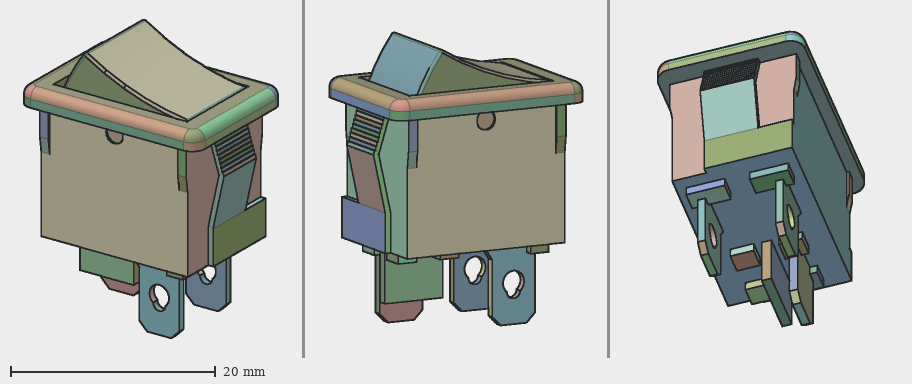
import cadquery as cq


bezel_length = 21.2
bezel_width = 15.1
bezel_height = 1.97
bezel_corner_radius = 1.5
bezel_edge_radius = 1.02

body_length = 17.43
body_width = 12.52
body_height = 14.05
corner_rib_length = 1.02
corner_rib_height = 0.25
corner_rib_straight_end = -3.33
corner_rib_taper_end = -5.02
dimple_diameter = 2.0
dimple_depth = 0.23

opening_length = 15.9
opening_width = 10.5
opening_floor = -0.8
rocker_width = 10.32
rocker_gap = 0.08
rocker_tip_x = -4.31
rocker_tip_z = 6.23
end_face_middle = (-5.8, 4.03)
top_face_middle = (1.52, 3.45)
rocker_edge_radius = 0.28

clip_thickness = 0.6
clip_width = 5.53
clip_apex_x = bezel_length / 2
clip_apex_z = -4.12
clip_top_x = 9.33
clip_foot_top = -9.98
serration_count = 9
serration_pitch = 0.42
serration_start = -0.35

terminal_bottom = -22.05
terminal_width = 4.77
terminal_tip_chamfer = 0.95
end_terminal_x = 4.03
end_terminal_y = 4.0
end_terminal_thickness = 0.8
shoulder_width = 0.87
shoulder_drop = 1.38
hole_z = -17.88
hole_radius = 1.15
hole_lower_z = -18.75
hole_lower_radius = 0.73
left_terminal_x = -4.95
left_terminal_y = 2.5
left_terminal_thickness = 0.87
divider_left = -8.12
divider_right = -1.72
divider_thickness = 1.0
divider_bottom = -19.57
pad_height = 1.0
pad_inner_y = 1.3
left_pad_length = 2.05
left_pad_starts = (-8.38, -3.7)
right_pad_length = 1.95
right_pad_start = 5.5
left_pad_outer_y = 3.7
right_pad_outer_y = 5.25

body_bottom = -body_height
body_end = body_length / 2
body_side = body_width / 2


def block(x_range, y_range, z_range):
    """Box spanning the given (low, high) ranges."""
    size = [high - low for low, high in (x_range, y_range, z_range)]
    corner = (x_range[0], y_range[0], z_range[0])
    return cq.Workplane("XY").box(*size, centered=False).translate(corner)


def plate(profile, y_low, thickness):
    """Extrude a closed XZ profile along +Y from y_low."""
    return profile.extrude(-thickness).translate((0, y_low, 0))


def make_bezel():
    bezel = cq.Workplane("XY").box(bezel_length, bezel_width, bezel_height, centered=(True, True, False))
    bezel = bezel.edges("|Z").fillet(bezel_corner_radius)
    return bezel.faces(">Z").edges().fillet(bezel_edge_radius)


def make_body():
    body = block((-body_end, body_end), (-body_side, body_side), (body_bottom, 0))
    dimple = (
        cq.Workplane("XZ", origin=(0, -body_side, 0))
        .center(0, -dimple_diameter / 2)
        .circle(dimple_diameter / 2)
        .extrude(-dimple_depth)
    )
    return body.cut(dimple)


def make_corner_ribs():
    """Tapered ribs on both sides of the housing, at its four upper corners."""
    outer_y = body_side + corner_rib_height
    outline = [
        (-outer_y, 0),
        (outer_y, 0),
        (outer_y, corner_rib_straight_end),
        (body_side, corner_rib_taper_end),
        (-body_side, corner_rib_taper_end),
        (-outer_y, corner_rib_straight_end),
    ]
    rib = cq.Workplane("YZ").polyline(outline).close().extrude(corner_rib_length)
    left = rib.translate((-body_end, 0, 0))
    right = rib.translate((body_end - corner_rib_length, 0, 0))
    return left.union(right)


def make_opening():
    opening_height = bezel_height - opening_floor
    return (
        cq.Workplane("XY", origin=(0, 0, opening_floor))
        .box(opening_length, opening_width, opening_height, centered=(True, True, False))
    )


def make_rocker():
    """Rocker tilted up on the -X side, with a bulging end face and a hollow top face."""
    rocker_end = opening_length / 2 - rocker_gap
    profile = (
        cq.Workplane("XZ")
        .moveTo(-rocker_end, opening_floor)
        .threePointArc(end_face_middle, (rocker_tip_x, rocker_tip_z))
        .threePointArc(top_face_middle, (rocker_end, bezel_height))
        .lineTo(rocker_end, opening_floor)
        .close()
    )
    rocker = plate(profile, -rocker_width / 2, rocker_width)
    upper_edges = rocker.edges("not(<Z)").edges("not(|Z)")
    return upper_edges.fillet(rocker_edge_radius)


def make_left_clip():
    """Bent spring arm with a stepped grip above its apex and a wide foot below it."""
    foot_x = body_end + clip_thickness
    grip_slope = (clip_apex_x - clip_top_x) / -clip_apex_z
    points = [(-clip_top_x, 0)]
    for step in range(serration_count):
        z = serration_start - step * serration_pitch
        points.append((points[-1][0], z))
        points.append((-clip_top_x + grip_slope * z, z))
    points += [
        (-clip_apex_x, clip_apex_z),
        (-foot_x, clip_foot_top),
        (-foot_x, body_bottom),
        (-body_end, body_bottom),
        (-body_end, clip_foot_top),
        (-clip_apex_x + clip_thickness, clip_apex_z),
        (-body_end, 0),
    ]
    arm = plate(cq.Workplane("XZ").polyline(points).close(), -clip_width / 2, clip_width)
    foot = block((-foot_x, -body_end), (-clip_width / 2, body_side), (body_bottom, clip_foot_top))
    return arm.union(foot)


def terminal_profile(center_x):
    """Points down the +X edge and around the chamfered tip of a terminal."""
    left = center_x - terminal_width / 2
    right = center_x + terminal_width / 2
    return [
        (right, body_bottom),
        (right, terminal_bottom + terminal_tip_chamfer),
        (right - terminal_tip_chamfer, terminal_bottom),
        (left + terminal_tip_chamfer, terminal_bottom),
        (left, terminal_bottom + terminal_tip_chamfer),
    ]


def make_left_terminal():
    points = terminal_profile(left_terminal_x)
    points.append((left_terminal_x - terminal_width / 2, body_bottom))
    profile = cq.Workplane("XZ").polyline(points).close()
    return plate(profile, left_terminal_y - left_terminal_thickness / 2, left_terminal_thickness)


def make_end_terminal(center_y):
    """Terminal with a sloped shoulder and a pear-shaped hole."""
    left = end_terminal_x - terminal_width / 2
    points = terminal_profile(end_terminal_x)
    points.append((left, body_bottom - shoulder_drop))
    points.append((left - shoulder_width, body_bottom))
    y_low = center_y - end_terminal_thickness / 2
    terminal = plate(cq.Workplane("XZ").polyline(points).close(), y_low, end_terminal_thickness)
    for z, radius in ((hole_z, hole_radius), (hole_lower_z, hole_lower_radius)):
        profile = cq.Workplane("XZ").center(end_terminal_x, z).circle(radius)
        terminal = terminal.cut(plate(profile, y_low, end_terminal_thickness))
    return terminal


def make_divider():
    """Flat plate standing between the two sides, below the -X half of the housing."""
    half_thickness = divider_thickness / 2
    return block(
        (divider_left, divider_right),
        (-half_thickness, half_thickness),
        (divider_bottom, body_bottom),
    )


def make_pads():
    """Three pads under the housing on each side of the XZ plane."""
    pad_layout = [(start, left_pad_length, left_pad_outer_y) for start in left_pad_starts]
    pad_layout.append((right_pad_start, right_pad_length, right_pad_outer_y))
    z_range = (body_bottom - pad_height, body_bottom)
    pads = cq.Workplane("XY")
    for start, length, outer_y in pad_layout:
        x_range = (start, start + length)
        pads = pads.add(block(x_range, (pad_inner_y, outer_y), z_range))
        pads = pads.add(block(x_range, (-outer_y, -pad_inner_y), z_range))
    return pads.combine()


left_clip = make_left_clip()
result = make_bezel().union(make_body()).union(make_corner_ribs())
result = result.cut(make_opening()).union(make_rocker())
result = result.union(left_clip).union(left_clip.mirror("YZ"))
result = result.union(make_left_terminal()).union(make_divider()).union(make_pads())
for side in (-1, 1):
    result = result.union(make_end_terminal(side * end_terminal_y))